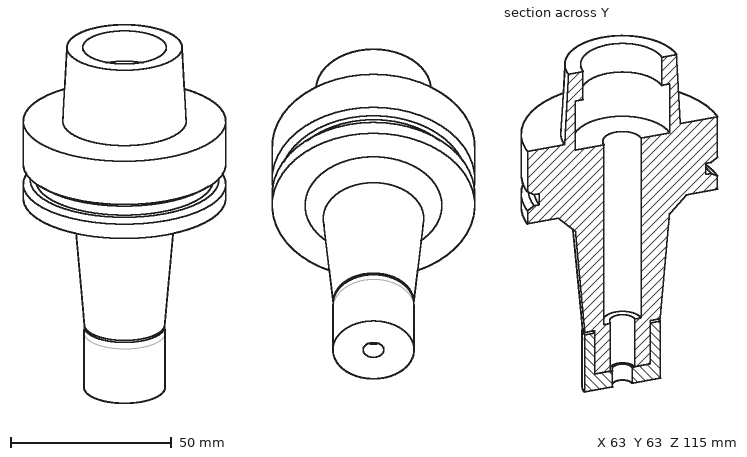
import cadquery as cq

total_height = 115.0
flange_top = 90.0
groove_upper_edge = 75.4
groove_top = 74.0
groove_bottom = 70.2
groove_lower_edge = 68.8
flange_bottom = 63.9
shoulder_bottom = 58.2
shank_bottom = 21.3
nut_top = 20.6
nut_cone_bottom = 18.5
neck_bottom = 5.8

flange_radius = 31.5
groove_lip_radius = 29.3
groove_radius = 27.6
taper_top_radius = 17.9
taper_base_radius = 19.2
shoulder_top_radius = 21.3
shank_top_radius = 15.6
shank_bottom_radius = 12.5
neck_radius = 9.2

mouth_radius = 13.0
mouth_depth = 10.2
undercut_radius = 15.6
undercut_floor = total_height - 27.6
coolant_bore_radius = 6.1
coolant_bore_floor = 23.0
neck_bore_radius = 4.0

nut_radius = 12.6
nut_top_radius = 12.5
nut_hole_radius = 3.2


def cylinder(radius, bottom, top):
    """Cylinder on the Z axis between two heights."""
    return cq.Workplane("XY").workplane(offset=bottom).circle(radius).extrude(top - bottom)


def revolved(profile):
    """Solid of revolution about Z from (radius, height) points."""
    return cq.Workplane("XZ").polyline(profile).close().revolve(360, (0, 0), (0, 1))


def make_holder():
    """Taper, grooved flange, conical shank and the neck that enters the nut."""
    body = revolved([
        (0, total_height),
        (taper_top_radius, total_height),
        (taper_base_radius, flange_top),
        (flange_radius, flange_top),
        (flange_radius, groove_upper_edge),
        (groove_lip_radius, groove_top),
        (groove_radius, groove_top),
        (groove_radius, groove_bottom),
        (groove_lip_radius, groove_bottom),
        (flange_radius, groove_lower_edge),
        (flange_radius, flange_bottom),
        (shoulder_top_radius, flange_bottom),
        (shank_top_radius, shoulder_bottom),
        (shank_bottom_radius, shank_bottom),
        (neck_radius, shank_bottom),
        (neck_radius, neck_bottom),
        (0, neck_bottom),
    ])
    mouth_floor = total_height - mouth_depth
    mouth = cylinder(mouth_radius, mouth_floor, total_height)
    undercut = cylinder(undercut_radius, undercut_floor, mouth_floor)
    coolant_bore = cylinder(coolant_bore_radius, coolant_bore_floor, undercut_floor)
    neck_bore = cylinder(neck_bore_radius, neck_bottom, coolant_bore_floor)
    return body.cut(mouth).cut(undercut).cut(coolant_bore).cut(neck_bore)


def make_nut():
    """Clamping nut with a slightly conical upper rim and a recess for the neck."""
    body = revolved([
        (0, 0),
        (nut_radius, 0),
        (nut_radius, nut_cone_bottom),
        (nut_top_radius, nut_top),
        (0, nut_top),
    ])
    neck_recess = cylinder(neck_radius, neck_bottom, nut_top)
    through_hole = cylinder(nut_hole_radius, 0, neck_bottom)
    return body.cut(neck_recess).cut(through_hole)


holder = make_holder()
nut = make_nut()

result = cq.Compound.makeCompound([holder.val(), nut.val()])